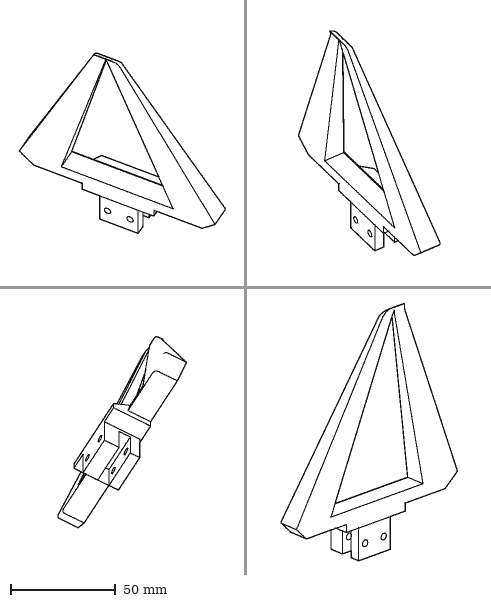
import cadquery as cq

height = 134.2
frame_width = 105.0
overall_depth = 35.5

frame_bottom = 21.7
corner_z = 29.0
bottom_half_width = 45.1
top_half_width = 5.2
window_half_width = 30.0
window_apex_z = 131.4

rear_bottom_depth = 7.9
rear_bend_depth = 29.8
front_bottom_depth = 20.4
front_bend_depth = 32.9
tip_rear_depth = 35.2
bend_z = 129.3
rear_bend_sagitta = 0.5
front_bend_sagitta = 0.4
edge_radius = 1.3
window_chamfer = 1.0
position_tolerance = 0.01

plate_width = 38.4
plate_bottom = 17.6
wedge_end_depth = 10.7
wedge_end_z = 28.7
tongue_width = 20.7
tongue_depth = 19.5
slot_rear_depth = 8.0
slot_width = 6.2
slot_top = 15.2
hole_diameter = 3.4
hole_spacing = 12.1
hole_z = 7.9


def prism_through_depth(points):
    """Extrude an XZ polygon through the full depth of the part."""
    return cq.Workplane("XZ").polyline(points).close().extrude(overall_depth)


def block(width, rear_depth, depth, top):
    """Box standing on Z = 0, centred in X, running forward from rear_depth."""
    return (
        cq.Workplane("XY")
        .box(width, depth, top, centered=(True, False, False))
        .translate((0, -rear_depth - depth, 0))
    )


def make_slab():
    """Leaning, tapering slab whose tip curls forward."""
    return (
        cq.Workplane("YZ")
        .moveTo(-front_bottom_depth, frame_bottom)
        .lineTo(-rear_bottom_depth, frame_bottom)
        .lineTo(-rear_bend_depth, bend_z)
        .sagittaArc((-tip_rear_depth, height), -rear_bend_sagitta)
        .lineTo(-overall_depth, height)
        .sagittaArc((-front_bend_depth, bend_z), front_bend_sagitta)
        .close()
        .extrude(frame_width / 2, both=True)
    )


def straight_rear_edges(frame, around_window):
    """Edges of the flat rear face, around the window or along the outer sides.

    The bottom edge and the edge across the tip bend stay sharp and are left out.
    """
    rear_corner = (bottom_half_width, -rear_bottom_depth, frame_bottom)
    rear_lean = (rear_bend_depth - rear_bottom_depth) / (bend_z - frame_bottom)
    rear_plane = cq.Plane(origin=rear_corner, xDir=(1, 0, 0), normal=(0, 1, rear_lean))
    middle_limit = (window_half_width + top_half_width) / 2
    edges = []
    for edge in frame.edges().vals():
        middle = edge.Center()
        on_rear_face = abs(rear_plane.toLocalCoords(middle).z) < position_tolerance
        at_end = min(middle.z - frame_bottom, bend_z - middle.z) < position_tolerance
        if on_rear_face and not at_end and (abs(middle.x) < middle_limit) == around_window:
            edges.append(edge)
    return edges


def curl_rear_edges(frame):
    """Curved outer edges on the rear side of the tip curl."""
    edges = []
    for edge in frame.edges().vals():
        ends = sorted([edge.startPoint(), edge.endPoint()], key=lambda point: point.z)
        starts_at_rear_bend = abs(ends[0].y + rear_bend_depth) < position_tolerance
        reaches_tip = height - ends[1].z < position_tolerance
        if starts_at_rear_bend and reaches_tip:
            edges.append(edge)
    return edges


def make_frame():
    """Slab trimmed to its outline, with the window and eased rear edges."""
    outline = prism_through_depth([
        (-bottom_half_width, frame_bottom),
        (bottom_half_width, frame_bottom),
        (frame_width / 2, corner_z),
        (top_half_width, height),
        (-top_half_width, height),
        (-frame_width / 2, corner_z),
    ])
    window = prism_through_depth([
        (-window_half_width, corner_z),
        (window_half_width, corner_z),
        (0, window_apex_z),
    ])
    frame = make_slab().intersect(outline).cut(window)

    window_edges = straight_rear_edges(frame, around_window=True)
    frame = frame.newObject(window_edges).chamfer(window_chamfer)
    outer_edges = straight_rear_edges(frame, around_window=False) + curl_rear_edges(frame)
    return frame.newObject(outer_edges).fillet(edge_radius)


def make_plate():
    """Plate under the frame, with a wedge bracing the frame from behind."""
    return (
        cq.Workplane("YZ")
        .polyline([
            (0, plate_bottom),
            (0, frame_bottom),
            (-wedge_end_depth, wedge_end_z),
            (-front_bottom_depth, frame_bottom),
            (-front_bottom_depth, plate_bottom),
        ])
        .close()
        .extrude(plate_width / 2, both=True)
    )


def make_tongue():
    """Slotted tongue with two cross holes."""
    hole_x = hole_spacing / 2
    holes = (
        cq.Workplane("XZ")
        .pushPoints([(-hole_x, hole_z), (hole_x, hole_z)])
        .circle(hole_diameter / 2)
        .extrude(tongue_depth)
    )
    slot = block(tongue_width, slot_rear_depth, slot_width, slot_top)
    return block(tongue_width, 0, tongue_depth, plate_bottom).cut(slot).cut(holes)


result = make_frame().union(make_plate()).union(make_tongue())